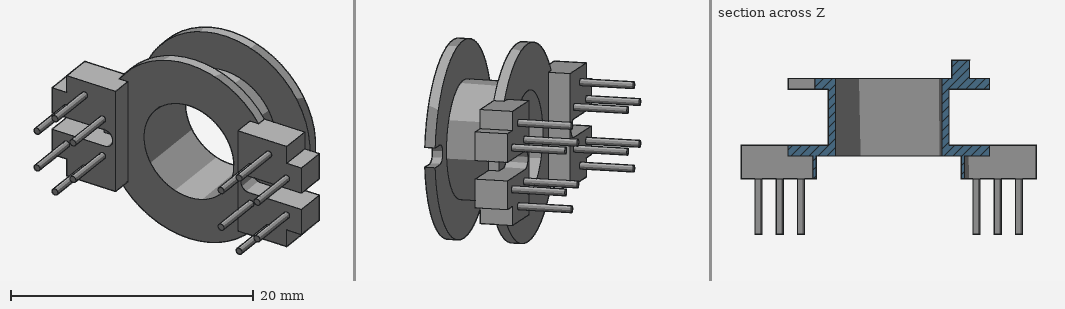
import cadquery as cq

flange_radius = 8.35
flange_thickness = 0.9
barrel_radius = 5.0
bore_radius = 4.4
winding_width = 4.6

block_inner_x = 5.98
block_step_x = 10.75
block_outer_x = 12.2
block_half_height = 4.8
block_step_half_height = 3.2
block_depth = 2.78
block_slot_radius = 0.78
block_slot_center_x = 7.05

pin_radius = 0.3
pin_length = 4.59
pin_pitch = 1.75
pin_center_x = 9.0

peg_radius = 0.75
peg_length = 1.51
peg_x = 5.95
notch_radius = 0.83
notch_center_x = -6.93

block_front_y = -block_depth
flange_front_y = -flange_thickness
rear_flange_y = winding_width
rear_face_y = rear_flange_y + flange_thickness


def plane_at(y):
    """XZ sketch plane at y; positive extrusion runs toward +Y."""
    return cq.Workplane(cq.Plane(origin=(0, y, 0), xDir=(-1, 0, 0), normal=(0, 1, 0)))


def disc(x, z, radius, y, length):
    return plane_at(y).center(-x, z).circle(radius).extrude(length)


def box(x_min, x_max, half_height, y_min, y_max):
    size = (x_max - x_min, y_max - y_min, 2 * half_height)
    return cq.Workplane().box(*size).translate(((x_min + x_max) / 2, (y_min + y_max) / 2, 0))


def spool():
    front_flange = disc(0, 0, flange_radius, flange_front_y, flange_thickness)
    barrel = disc(0, 0, barrel_radius, 0, winding_width)
    rear_flange = disc(0, 0, flange_radius, rear_flange_y, flange_thickness)
    return front_flange.union(barrel).union(rear_flange)


def rear_notch():
    """Round-ended notch, open to the -X edge of the rear flange."""
    end = disc(notch_center_x, 0, notch_radius, rear_flange_y, flange_thickness)
    opening = box(-flange_radius, notch_center_x, notch_radius, rear_flange_y, rear_face_y)
    return end.union(opening)


def terminal_block():
    """Stepped block on the +X side with a round-ended wire slot."""
    body = box(block_inner_x, block_step_x, block_half_height, block_front_y, 0)
    body = body.union(box(block_step_x, block_outer_x, block_step_half_height, block_front_y, 0))
    slot_end = disc(block_slot_center_x, 0, block_slot_radius, block_front_y, block_depth)
    slot_opening = box(block_slot_center_x, block_outer_x, block_slot_radius, block_front_y, 0)
    return body.cut(slot_end).cut(slot_opening)


def terminal_pins():
    pins = cq.Workplane()
    for side in (-1, 1):
        for column, row in ((-1, 1), (0, 2), (1, 1)):
            x = pin_center_x + column * pin_pitch
            z = side * row * pin_pitch
            pins = pins.add(disc(x, z, pin_radius, block_front_y - pin_length, pin_length))
    return pins.combine()


terminals = terminal_block().union(terminal_pins())
peg = disc(peg_x, 0, peg_radius, rear_face_y, peg_length)

result = spool().cut(rear_notch()).union(peg)
result = result.union(terminals).union(terminals.mirror("YZ"))

bore = disc(0, 0, bore_radius, flange_front_y, rear_face_y - flange_front_y)
result = result.cut(bore)